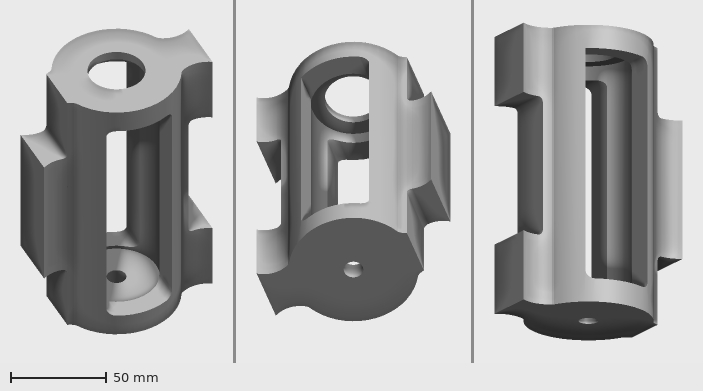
import cadquery as cq
import math

height = 152.4
body_radius = 34.21
tab_reach = 48.8
tab_half_width = 14.8
neck_half_width = 12.2
root_half_width = 14.6
root_reach = 31.4
bevel_half_width = 15.5

front_flat = 34.6
back_flat = 35.8
tab_height = height / 2
tab_fillet = 2.7

cavity_radius = 22.9
floor_thickness = 10.8
ceiling_thickness = 5.0
top_hole_radius = 15.2
bottom_hole_radius = 5.2

window_width = 38.1
window_margin = 12.8
window_fillet = 4.5


def tab_profile(side):
    """Full-height tab with concave flanks; side is +1 for back, -1 for front."""
    bevel_y = math.sqrt(body_radius**2 - bevel_half_width**2)
    neck_y = (root_reach + tab_reach) / 2
    return (
        cq.Workplane("XY")
        .moveTo(-bevel_half_width, side * bevel_y)
        .lineTo(-root_half_width, side * root_reach)
        .threePointArc((-neck_half_width, side * neck_y), (-tab_half_width, side * tab_reach))
        .lineTo(tab_half_width, side * tab_reach)
        .threePointArc((neck_half_width, side * neck_y), (root_half_width, side * root_reach))
        .lineTo(bevel_half_width, side * bevel_y)
        .lineTo(bevel_half_width, 0)
        .lineTo(-bevel_half_width, 0)
        .close()
        .extrude(height)
    )


def rounded_relief(side, flat, bottom, top, rounded_heights):
    """Block that trims a tab back to its flat, with its inner edges rounded at the given heights."""
    depth = tab_reach - flat
    block = (
        cq.Workplane("XY")
        .box(2 * body_radius, 2 * depth, top - bottom, centered=(True, True, False))
        .translate((0, side * tab_reach, bottom))
    )
    for z in rounded_heights:
        edge = cq.selectors.NearestToPointSelector((0, side * flat, z))
        block = block.edges(edge).fillet(tab_fillet)
    return block


body = cq.Workplane("XY").circle(body_radius).extrude(height)
body = body.union(tab_profile(1)).union(tab_profile(-1))

tab_bottom = (height - tab_height) / 2
tab_top = tab_bottom + tab_height
body = body.cut(rounded_relief(-1, front_flat, 0, tab_bottom, [tab_bottom]))
body = body.cut(rounded_relief(-1, front_flat, tab_top, height, [tab_top]))
body = body.cut(rounded_relief(1, back_flat, tab_bottom, tab_top, [tab_bottom, tab_top]))

cavity_height = height - floor_thickness - ceiling_thickness
body = body.cut(
    cq.Workplane("XY").workplane(offset=floor_thickness).circle(cavity_radius).extrude(cavity_height)
)
body = body.cut(cq.Workplane("XY").circle(bottom_hole_radius).extrude(height / 2))
body = body.cut(
    cq.Workplane("XY").workplane(offset=height / 2).circle(top_hole_radius).extrude(height / 2)
)

window = (
    cq.Workplane("XY")
    .box(2 * body_radius, window_width, height - 2 * window_margin)
    .edges("|X")
    .fillet(window_fillet)
    .translate((0, 0, height / 2))
)
body = body.cut(window)

square_corner = (
    cq.Workplane("XY")
    .box(body_radius, window_fillet, window_fillet, centered=False)
    .translate((-body_radius, window_width / 2 - window_fillet, height - window_margin - window_fillet))
)
result = body.cut(square_corner)